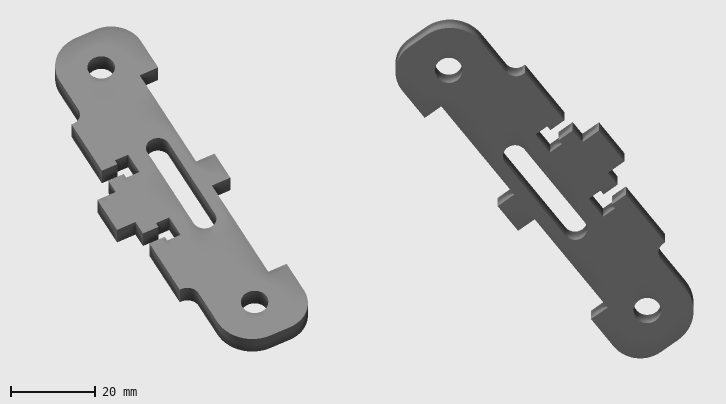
import cadquery as cq

length = 99.0
width = 31.0
thickness = 5.0

lobe_bottom = 8.4
upper_radius = 8.0
lower_radius = 9.4
hole_diameter = 6.5
hole_spacing = 78.0
hole_y = 19.0

tab_height = 4.95
body_bottom = tab_height
body_top = width - tab_height
lower_body_width = 55.0
step_fillet = 3.0
upper_opening_width = 65.3
upper_tab_width = 8.0
lower_tab_width = 10.0

slot_length = 29.3
slot_width = 5.7
slot_y = 19.9

pocket_spacing = 20.9
nut_width = 5.7
nut_bottom = 9.1
nut_top = 12.7
neck_width = 3.3


def block(block_width, bottom, top, center_x=0):
    """Full-thickness rectangular block spanning bottom to top in Y."""
    return (
        cq.Workplane("XY")
        .center(center_x, (bottom + top) / 2)
        .rect(block_width, top - bottom)
        .extrude(thickness)
    )


def end_lobes():
    """Full-length bar with rounded vertical corners."""
    bar = block(length, lobe_bottom, width)
    bar = bar.edges("|Z and >Y").fillet(upper_radius)
    return bar.edges("|Z and <Y").fillet(lower_radius)


def stepped_body():
    """Lobes joined to the lower body, with concave fillets at the steps."""
    body = end_lobes().union(block(lower_body_width, body_bottom, body_top))
    half_width = lower_body_width / 2
    for x in (-half_width, half_width):
        step_corner = cq.selectors.NearestToPointSelector((x, lobe_bottom, thickness / 2))
        body = body.edges("|Z").edges(step_corner).fillet(step_fillet)
    return body


def t_pocket(center_x):
    """Cutter for a nut pocket and its open screw neck."""
    neck = block(neck_width, body_bottom, nut_top, center_x)
    return neck.union(block(nut_width, nut_bottom, nut_top, center_x))


result = stepped_body()

result = result.cut(block(upper_opening_width, body_top, width))
result = result.union(block(upper_tab_width, slot_y + slot_width / 2, width))
result = result.union(block(lower_tab_width, 0, body_bottom + tab_height))

for pocket_x in (-pocket_spacing / 2, pocket_spacing / 2):
    result = result.cut(t_pocket(pocket_x))

slot = cq.Workplane("XY").center(0, slot_y).slot2D(slot_length, slot_width).extrude(thickness)
holes = (
    cq.Workplane("XY")
    .pushPoints([(-hole_spacing / 2, hole_y), (hole_spacing / 2, hole_y)])
    .circle(hole_diameter / 2)
    .extrude(thickness)
)
result = result.cut(slot).cut(holes)